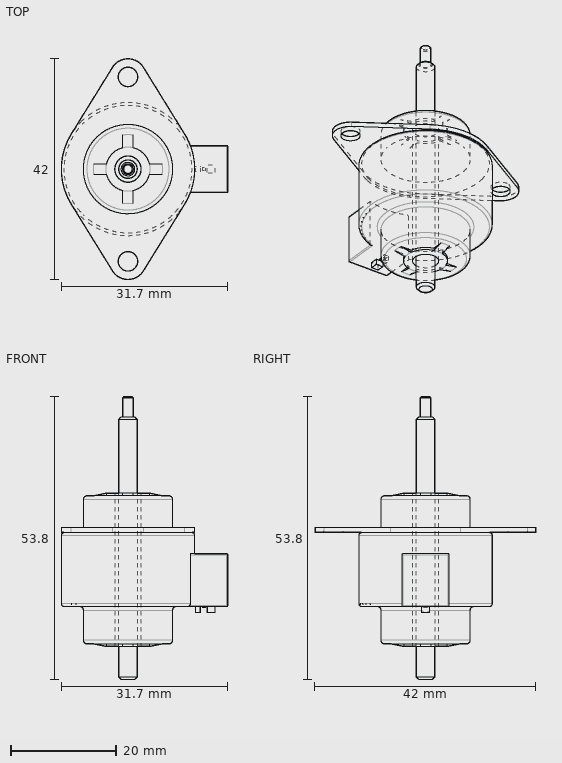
import cadquery as cq
import math

hub_bottom_z = 6.3
lower_cap_z = 6.8
can_bottom_z = 13.9
plate_bottom_z = 28.0
plate_thickness = 0.95
upper_cap_z = 35.0
hub_height = lower_cap_z - hub_bottom_z
hub_top_z = upper_cap_z + hub_height

can_radius = 12.7
can_fillet = 0.55
cap_radius = 8.5
cap_fillet = 0.7
bore_radius = 2.5

hub_radius = 4.2
rib_outer_radius = 6.55
rib_width = 2.0

plate_length = 42.0
ear_offset = 17.55
ear_radius = plate_length / 2 - ear_offset
ear_hole_diameter = 3.65

connector_end_x = 19.0
connector_start_x = 9.7
connector_width = 9.0
connector_height = 10.05
connector_fillet = 0.2

feet = [
    (13.3, 0.95, 1.15),
    (14.5, 0.6, 0.15),
    (15.8, 1.5, 1.15),
]

shaft_length = 53.8
shaft_radius = 1.8
shaft_chamfer = 0.5
tip_radius = 1.0
tip_length = 3.8
tip_chamfer = 0.2


def cylinder(radius, bottom_z, top_z):
    """Solid cylinder on the motor axis."""
    return cq.Workplane("XY").workplane(offset=bottom_z).circle(radius).extrude(top_z - bottom_z)


def make_can():
    """Main can with rounded rims."""
    return cylinder(can_radius, can_bottom_z, plate_bottom_z).edges("%CIRCLE").fillet(can_fillet)


def make_upper_cap():
    """Cap above the mounting plate with a rounded top rim."""
    return cylinder(cap_radius, plate_bottom_z, upper_cap_z).faces(">Z").edges().fillet(cap_fillet)


def make_lower_cap():
    """Cap below the can: rounded bottom rim and a concave flare where it meets the can."""
    arc_inset = cap_fillet * (1 - math.sqrt(0.5))
    flare_z = can_bottom_z - cap_fillet
    inside_can_z = can_bottom_z + can_fillet
    profile = (
        cq.Workplane("XZ")
        .moveTo(0, lower_cap_z)
        .lineTo(cap_radius - cap_fillet, lower_cap_z)
        .threePointArc(
            (cap_radius - arc_inset, lower_cap_z + arc_inset),
            (cap_radius, lower_cap_z + cap_fillet),
        )
        .lineTo(cap_radius, flare_z)
        .threePointArc(
            (cap_radius + arc_inset, can_bottom_z - arc_inset),
            (cap_radius + cap_fillet, can_bottom_z),
        )
        .lineTo(cap_radius + cap_fillet, inside_can_z)
        .lineTo(0, inside_can_z)
        .close()
    )
    return profile.revolve(360, (0, 0, 0), (0, 1, 0))


def make_hub(base_z, direction):
    """Raised hub ring with four ribs cut from a cone; direction is +1 for up and -1 for down."""
    crown_z = base_z + direction * hub_height
    ring = cylinder(hub_radius, min(base_z, crown_z), max(base_z, crown_z))
    cone = (
        cq.Workplane("XZ")
        .polyline([(0, base_z), (rib_outer_radius, base_z), (hub_radius, crown_z), (0, crown_z)])
        .close()
        .revolve(360, (0, 0, 0), (0, 1, 0))
    )
    rib_span = 2 * rib_outer_radius
    mid_z = (base_z + crown_z) / 2
    cross = cq.Workplane("XY").box(rib_span, rib_width, hub_height)
    cross = cross.union(cq.Workplane("XY").box(rib_width, rib_span, hub_height))
    return ring.union(cone.intersect(cross.translate((0, 0, mid_z))))


def make_plate():
    """Diamond plate: a central disc joined by tangent lines to a rounded ear at each end."""
    sine = (can_radius - ear_radius) / ear_offset
    cosine = math.sqrt(1 - sine**2)
    side_x = can_radius * cosine
    side_y = can_radius * sine
    ear_x = ear_radius * cosine
    ear_y = ear_offset + ear_radius * sine
    ear_tip_y = ear_offset + ear_radius
    return (
        cq.Workplane("XY")
        .workplane(offset=plate_bottom_z)
        .moveTo(side_x, -side_y)
        .threePointArc((can_radius, 0), (side_x, side_y))
        .lineTo(ear_x, ear_y)
        .threePointArc((0, ear_tip_y), (-ear_x, ear_y))
        .lineTo(-side_x, side_y)
        .threePointArc((-can_radius, 0), (-side_x, -side_y))
        .lineTo(-ear_x, -ear_y)
        .threePointArc((0, -ear_tip_y), (ear_x, -ear_y))
        .close()
        .extrude(plate_thickness)
        .pushPoints([(0, ear_offset), (0, -ear_offset)])
        .circle(ear_hole_diameter / 2)
        .cutThruAll()
    )


def make_connector():
    """Rounded connector box on the +X side of the can, with feet under it."""
    length = connector_end_x - connector_start_x
    connector = (
        cq.Workplane("XY")
        .box(length, connector_width, connector_height, centered=(False, True, False))
        .translate((connector_start_x, 0, can_bottom_z))
        .edges()
        .fillet(connector_fillet)
    )
    for centre_x, width, height in feet:
        foot = (
            cq.Workplane("XY")
            .box(width, width, height + connector_fillet, centered=(True, True, False))
            .translate((centre_x, 0, can_bottom_z - height))
        )
        connector = connector.union(foot)
    return connector


def make_housing():
    """Complete motor housing with a clearance bore for the shaft."""
    housing = (
        make_can()
        .union(make_upper_cap())
        .union(make_lower_cap())
        .union(make_plate())
        .union(make_hub(upper_cap_z, 1))
        .union(make_hub(lower_cap_z, -1))
        .union(make_connector())
    )
    return housing.cut(cylinder(bore_radius, hub_bottom_z, hub_top_z))


def make_shaft():
    """Shaft with chamfered ends and a thinner chamfered tip."""
    shoulder_z = shaft_length - tip_length
    main = cylinder(shaft_radius, 0, shoulder_z).edges("%CIRCLE").chamfer(shaft_chamfer)
    tip = cylinder(tip_radius, shoulder_z, shaft_length).faces(">Z").chamfer(tip_chamfer)
    return main.union(tip)


housing = make_housing()
shaft = make_shaft()

result = cq.Compound.makeCompound([housing.solids().val(), shaft.solids().val()])